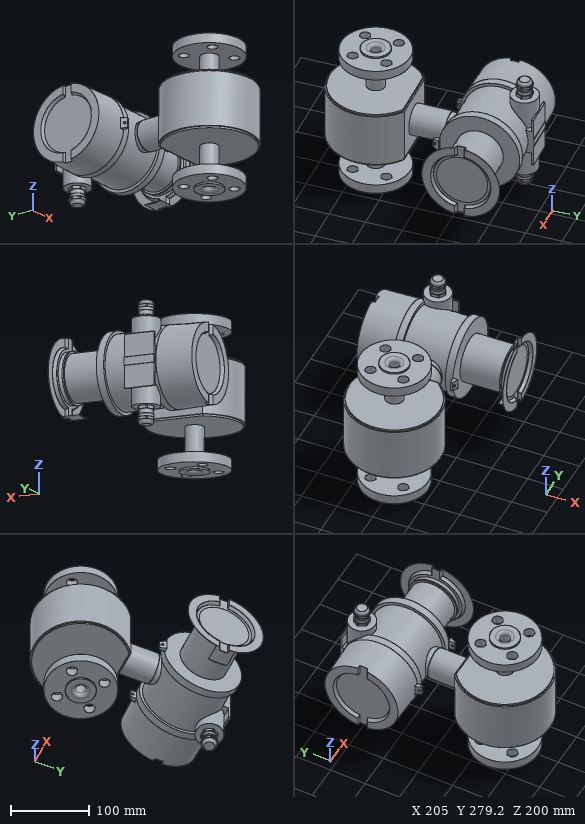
import cadquery as cq
import math


overall_height = 200.0
drum_radius = 65.1
drum_half_height = 40.5
drum_flat_y = 53.0
drum_step_inset = 2.0
drum_step_height = 2.5
bore_diameter = 14.0
bore_mouth_fillet = 5.0
pipe_diameter = 25.0
flange_diameter = 95.0
flange_thickness = 13.6
raised_face_diameter = 40.0
raised_face_height = 2.4
bolt_hole_diameter = 14.0
bolt_circle_diameter = 65.0
bolt_count = 4
post_diameter = 42.0
post_end_y = 101.4

housing_y = 155.4
housing_radius = 50.5
band_radius = 54.8
front_band_start_x = -48.5
front_band_end_x = -38.7
rear_band_start_x = 26.0
rear_band_end_x = 36.5
stub_diameter = 40.0

overall_length = 205.0
front_face_x = -99.0
rear_face_x = front_face_x + overall_length
cover_end_radius = 53.2
recess_depth = 5.0
recess_floor_radius = 38.7
recess_mouth_radius = 41.0
slot_side_y = 4.8
slot_floor_y = -6.0
slot_mouth_y = -8.3
rear_wall = 0.4
neck_radius = 32.4
neck_ring_radius = 35.3
neck_ring_start_x = 93.0
neck_ring_end_x = 95.0
flare_end_radius = 35.0
lip_start_x = 81.2
lip_height = 1.6

lug_base_offset = 53.8
lug_tip_offset = 62.3
lug_base_length = 7.0
lug_tip_length = 2.8
lug_base_half_width = 7.5
lug_tip_half_width = 6.5
lug_hole_diameter = 3.0
lug_hole_offset = 59.2

entry_x = -26.4
entry_y = 193.5
entry_end_z = 57.6
upper_entry_diameter = 37.8
lower_entry_diameter = 37.0
gland_hex_flats = 20.0
gland_hex_corner_diameter = 22.3
gland_base_height = 4.2
gland_barrel_diameter = 18.38
gland_barrel_top = 10.2
gland_collar_diameter = 19.8
gland_nut_bottom = 14.3
gland_nut_top = 17.8
gland_cap_bottom = 19.5
gland_height = 23.8
gland_cap_top_diameter = 14.0
gland_dome_bulge = 0.8

plate_start_x = -47.5
plate_end_x = -5.3
plate_half_width = 35.6
plate_inner_offset = 55.6
plate_outer_offset = 58.2
plate_ridge_offset = 58.75
plate_ridge_half_width = 5.5
plate_block_half_width = 17.4


def z_cylinder(diameter, z_start, z_end, x=0.0, y=0.0):
    return cq.Workplane("XY", origin=(x, y, z_start)).circle(diameter / 2).extrude(z_end - z_start)


def y_cylinder(diameter, y_start, y_end):
    return cq.Workplane("XZ", origin=(0, y_start, 0)).circle(diameter / 2).extrude(y_start - y_end)


def x_cylinder(radius, x_start, x_end):
    return cq.Workplane("YZ", origin=(x_start, housing_y, 0)).circle(radius).extrude(x_end - x_start)


def x_cone(start_radius, end_radius, x_start, x_end):
    """Cone frustum on the housing axis."""
    profile = [(x_start, 0), (x_start, start_radius), (x_end, end_radius), (x_end, 0)]
    cone = cq.Workplane("XY").polyline(profile).close().revolve(360, (0, 0, 0), (1, 0, 0))
    return cone.translate((0, housing_y, 0))


def box_between(x_range, y_range, z_range):
    size = [end - start for start, end in (x_range, y_range, z_range)]
    corner = (x_range[0], y_range[0], z_range[0])
    return cq.Workplane("XY").box(*size, centered=False).translate(corner)


def drum_layer(inset, half_height):
    """Round drum slice, trimmed by the flat that faces the housing."""
    radius = drum_radius - inset
    layer = z_cylinder(2 * radius, -half_height, half_height)
    keep = box_between((-radius, radius), (-radius, drum_flat_y - inset), (-half_height, half_height))
    return layer.intersect(keep)


def upper_flange():
    top = overall_height / 2
    face = top - raised_face_height
    flange = z_cylinder(flange_diameter, face - flange_thickness, face)
    flange = flange.union(z_cylinder(raised_face_diameter, face, top))
    bolt_angle = 360 / bolt_count
    bolt_holes = (
        cq.Workplane("XY", origin=(0, 0, face - flange_thickness))
        .polarArray(bolt_circle_diameter / 2, bolt_angle / 2, 360, bolt_count)
        .circle(bolt_hole_diameter / 2)
        .extrude(flange_thickness)
    )
    return flange.cut(bolt_holes)


def make_sensor():
    end = overall_height / 2
    body = drum_layer(0, drum_half_height - drum_step_height)
    body = body.union(drum_layer(drum_step_inset, drum_half_height))
    body = body.union(y_cylinder(post_diameter, 0, post_end_y))
    body = body.union(z_cylinder(pipe_diameter, raised_face_height - end, end - raised_face_height))
    flange = upper_flange()
    body = body.union(flange).union(flange.mirror("XY"))
    body = body.cut(z_cylinder(bore_diameter, -end, end))
    mouth_edges = cq.selectors.RadiusNthSelector(0)
    body = body.faces("<Z or >Z").edges(mouth_edges).fillet(bore_mouth_fillet)
    return body


def make_lug(joint_x, direction):
    """Tapered sealing lug standing on a cover joint; direction is the X side it points to."""
    base_y = housing_y - lug_base_offset
    tip_y = housing_y - lug_tip_offset
    side = [
        (joint_x, base_y),
        (joint_x + direction * lug_base_length, base_y),
        (joint_x + direction * lug_tip_length, tip_y),
        (joint_x, tip_y),
    ]
    front = [
        (base_y, -lug_base_half_width),
        (base_y, lug_base_half_width),
        (tip_y, lug_tip_half_width),
        (tip_y, -lug_tip_half_width),
    ]
    lug = cq.Workplane("XY").polyline(side).close().extrude(lug_base_half_width, both=True)
    taper = cq.Workplane("YZ", origin=(joint_x, 0, 0)).polyline(front).close()
    lug = lug.intersect(taper.extrude(lug_base_length, both=True))
    hole = cq.Workplane("YZ", origin=(joint_x, housing_y - lug_hole_offset, 0)).circle(lug_hole_diameter / 2)
    return lug.cut(hole.extrude(lug_base_length, both=True))


def make_housing():
    body = x_cylinder(housing_radius, front_band_start_x, rear_band_end_x)
    body = body.union(x_cylinder(band_radius, front_band_start_x, front_band_end_x))
    body = body.union(x_cylinder(band_radius, rear_band_start_x, rear_band_end_x))
    body = body.union(y_cylinder(stub_diameter, post_end_y, housing_y))
    body = body.union(z_cylinder(upper_entry_diameter, 0, entry_end_z, entry_x, entry_y))
    body = body.union(z_cylinder(lower_entry_diameter, -entry_end_z, 0, entry_x, entry_y))
    return body.union(make_lug(rear_band_end_x, 1))


def cover_recess(face_x, inward, wall):
    """Conical recess and cross slot sunk into a cover face, grown outward by wall."""
    floor_x = face_x + inward * (recess_depth + wall)
    cone = x_cone(recess_mouth_radius + wall, recess_floor_radius + wall, face_x, floor_x)
    section = [
        (face_x, housing_y + slot_side_y + wall),
        (floor_x, housing_y + slot_side_y + wall),
        (floor_x, housing_y + slot_floor_y - wall),
        (face_x, housing_y + slot_mouth_y - wall),
    ]
    slot = cq.Workplane("XY").polyline(section).close().extrude(band_radius, both=True)
    return cone.union(slot)


def make_front_cover():
    body = x_cone(cover_end_radius, band_radius, front_face_x, front_band_start_x)
    body = body.cut(cover_recess(front_face_x, 1, 0))
    return body.union(make_lug(front_band_start_x, -1))


def make_rear_cover():
    """Neck that flares into a thin dished end plate with a lip along its lower rim."""
    dish_back_x = rear_face_x - recess_depth - rear_wall
    body = x_cylinder(neck_radius, rear_band_end_x, neck_ring_end_x)
    body = body.union(x_cylinder(neck_ring_radius, neck_ring_start_x, neck_ring_end_x))
    body = body.union(x_cone(neck_radius, flare_end_radius, neck_ring_end_x, dish_back_x))
    envelope = x_cylinder(cover_end_radius, lip_start_x, rear_face_x)
    body = body.union(cover_recess(rear_face_x, -1, rear_wall).intersect(envelope))
    body = body.union(x_cylinder(cover_end_radius, rear_face_x - rear_wall, rear_face_x))
    lip_zone = box_between(
        (lip_start_x, rear_face_x),
        (housing_y - cover_end_radius, housing_y + cover_end_radius),
        (-cover_end_radius, lip_height - cover_end_radius),
    )
    body = body.union(envelope.intersect(lip_zone))
    return body.cut(cover_recess(rear_face_x, -1, 0))


def gland_hexagon(z_start, z_end):
    """Hexagon with two flats facing +Y and -Y and turned-off corners."""
    height = z_end - z_start
    corner_to_corner = gland_hex_flats / math.cos(math.radians(30))
    hexagon = cq.Workplane("XY", origin=(0, 0, z_start)).polygon(6, corner_to_corner).extrude(height)
    return hexagon.intersect(z_cylinder(gland_hex_corner_diameter, z_start, z_end))


def gland_cap():
    """Cap whose shoulder rounds over, by a bulge outside the straight chord, to a flat top."""
    rim_radius = gland_collar_diameter / 2
    top_radius = gland_cap_top_diameter / 2
    chord_run = rim_radius - top_radius
    chord_rise = gland_height - gland_cap_bottom
    chord = math.hypot(chord_run, chord_rise)
    shoulder = (
        (rim_radius + top_radius) / 2 + gland_dome_bulge * chord_rise / chord,
        (gland_cap_bottom + gland_height) / 2 + gland_dome_bulge * chord_run / chord,
    )
    return (
        cq.Workplane("XZ")
        .moveTo(0, gland_nut_top)
        .lineTo(rim_radius, gland_nut_top)
        .lineTo(rim_radius, gland_cap_bottom)
        .threePointArc(shoulder, (top_radius, gland_height))
        .lineTo(0, gland_height)
        .close()
        .revolve(360, (0, 0, 0), (0, 1, 0))
    )


def make_gland():
    """Cable gland standing on the XY plane."""
    gland = gland_hexagon(0, gland_base_height)
    gland = gland.union(z_cylinder(gland_barrel_diameter, gland_base_height, gland_barrel_top))
    gland = gland.union(z_cylinder(gland_collar_diameter, gland_barrel_top, gland_nut_bottom))
    gland = gland.union(gland_hexagon(gland_nut_bottom, gland_nut_top))
    return gland.union(gland_cap())


def make_nameplate(housing):
    """Plate with a low centre ridge on a mounting block that fits against the housing."""
    x_range = (plate_start_x, plate_end_x)

    def layer(inner_offset, outer_offset, half_width):
        y_range = (housing_y + inner_offset, housing_y + outer_offset)
        return box_between(x_range, y_range, (-half_width, half_width))

    block_inner_offset = math.sqrt(housing_radius**2 - plate_block_half_width**2)
    plate = layer(plate_inner_offset, plate_outer_offset, plate_half_width)
    plate = plate.union(layer(plate_outer_offset, plate_ridge_offset, plate_ridge_half_width))
    plate = plate.union(layer(block_inner_offset, plate_inner_offset, plate_block_half_width))
    return plate.cut(housing)


sensor = make_sensor()
housing = make_housing()
front_cover = make_front_cover()
rear_cover = make_rear_cover()
nameplate = make_nameplate(housing)
upper_gland = make_gland().translate((entry_x, entry_y, entry_end_z))
glands = [upper_gland, upper_gland.mirror("XY")]

result = cq.Compound.makeCompound(
    [
        sensor.val(),
        housing.val(),
        front_cover.val(),
        rear_cover.val(),
        nameplate.val(),
        *[gland.val() for gland in glands],
    ]
)